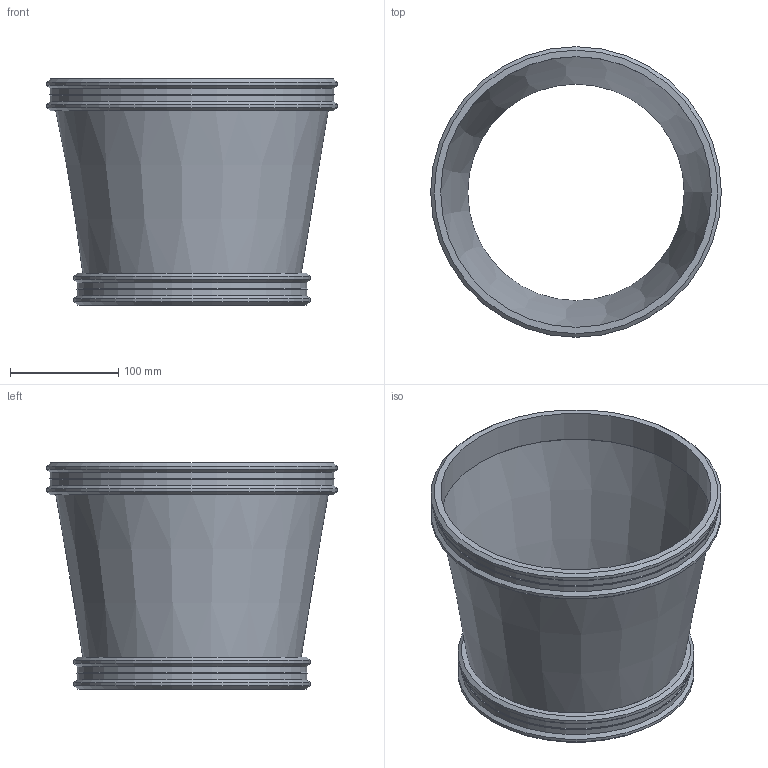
import cadquery as cq

large_bore_radius = 125.0
small_bore_radius = 100.0

collar_wall = 5.9
ridge_flank = 2.9
ridge_crest = 2.8
ridge_height = 3.3
channel_width = 12.2
bead_width = 1.2
bead_height = 0.6
ridge_width = ridge_crest + 2 * ridge_flank
collar_length = 2 * ridge_width + channel_width

cone_length = 150.0
cone_wall = 0.9

large_collar_end = 2 * collar_length + cone_length


def ridge_points(radius, start):
    """Trapezoid ridge standing on a cylinder of the given radius."""
    crest_radius = radius + ridge_height
    crest_start = start + ridge_flank
    crest_end = crest_start + ridge_crest
    return [
        (radius, start),
        (crest_radius, crest_start),
        (crest_radius, crest_end),
        (radius, crest_end + ridge_flank),
    ]


def bead_points(radius, middle):
    """Small pointed bead around the middle of the channel."""
    return [
        (radius, middle - bead_width / 2),
        (radius + bead_height, middle),
        (radius, middle + bead_width / 2),
    ]


def make_collar(bore_radius):
    """Collar with its open end at Z = 0 and its cone end at Z = collar_length."""
    outer_radius = bore_radius + collar_wall
    channel_end = ridge_width + channel_width
    section = [
        (bore_radius, 0),
        *ridge_points(outer_radius, 0),
        *bead_points(outer_radius, collar_length / 2),
        *ridge_points(outer_radius, channel_end),
        (bore_radius, collar_length),
    ]
    return cq.Workplane("XZ").polyline(section).close().revolve(360, (0, 0), (0, 1))


def make_cone():
    """Thin conical shell whose ends sit flat on the two collars."""
    cone_bottom = collar_length
    cone_top = collar_length + cone_length
    section = [
        (small_bore_radius, cone_bottom),
        (small_bore_radius + cone_wall, cone_bottom),
        (large_bore_radius + cone_wall, cone_top),
        (large_bore_radius, cone_top),
    ]
    return cq.Workplane("XZ").polyline(section).close().revolve(360, (0, 0), (0, 1))


small_collar = make_collar(small_bore_radius)

large_collar = (
    make_collar(large_bore_radius)
    .rotate((0, 0, 0), (1, 0, 0), 180)
    .translate((0, 0, large_collar_end))
)

cone = make_cone()

result = cq.Compound.makeCompound([small_collar.val(), cone.val(), large_collar.val()])